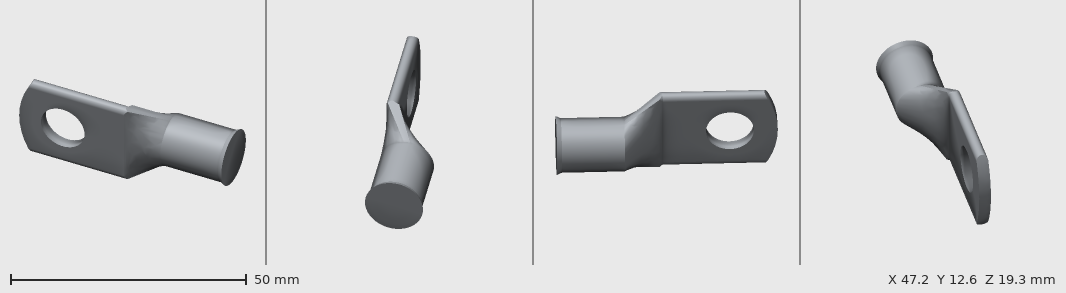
import cadquery as cq
import math

total_length = 47.18

palm_width = 19.3
palm_thickness = 2.56
palm_length = 24.4
palm_tip_radius = 18.0
palm_back_y = -6.14
palm_edge_radius = 1.27

hole_diameter = 10.15
hole_x = 10.15

barrel_diameter = 11.6
barrel_start_x = 32.75
lip_diameter = 12.56
lip_length = 1.05

seam_upper_y = 0.6
seam_lower_y = -0.75

palm_front_y = palm_back_y + palm_thickness
palm_half_width = palm_width / 2
barrel_radius = barrel_diameter / 2
lip_start_x = total_length - lip_length


def palm_section():
    """Rectangular bar section at the root of the palm."""
    section = cq.Workplane("YZ", origin=(palm_length, 0, 0))
    return (
        section.moveTo(palm_front_y, -palm_half_width)
        .lineTo(palm_front_y, palm_half_width)
        .lineTo(palm_back_y, palm_half_width)
        .lineTo(palm_back_y, -palm_half_width)
        .close()
    )


def barrel_section():
    """Barrel circle as four arcs, one for each side of the palm rectangle."""
    upper_z = math.sqrt(barrel_radius**2 - seam_upper_y**2)
    lower_z = math.sqrt(barrel_radius**2 - seam_lower_y**2)
    section = cq.Workplane("YZ", origin=(barrel_start_x, 0, 0))
    return (
        section.moveTo(seam_upper_y, -upper_z)
        .threePointArc((barrel_radius, 0), (seam_upper_y, upper_z))
        .threePointArc((0, barrel_radius), (seam_lower_y, lower_z))
        .threePointArc((-barrel_radius, 0), (seam_lower_y, -lower_z))
        .threePointArc((0, -barrel_radius), (seam_upper_y, -upper_z))
        .close()
    )


def make_transition():
    """Ruled loft from the rectangular palm to the round barrel."""
    sections = [palm_section().val(), barrel_section().val()]
    return cq.Workplane(cq.Solid.makeLoft(sections, True))


def make_barrel():
    """Round barrel with a conical lip at its open end, turned about X."""
    return (
        cq.Workplane("XZ")
        .moveTo(barrel_start_x, 0)
        .lineTo(barrel_start_x, barrel_radius)
        .lineTo(lip_start_x, barrel_radius)
        .lineTo(total_length, lip_diameter / 2)
        .lineTo(total_length, 0)
        .close()
        .revolve(360, (0, 0, 0), (1, 0, 0))
    )


def round_palm_edges(body):
    """Round the four long palm edges; the rounding runs out into the transition."""
    return body.edges("|X and (>Z or <Z)").fillet(palm_edge_radius)


def make_tip_waste():
    """Material outside the arc that ends the palm."""
    tip_sagitta = palm_tip_radius - math.sqrt(palm_tip_radius**2 - palm_half_width**2)
    return (
        cq.Workplane("XZ", origin=(0, palm_front_y, 0))
        .moveTo(tip_sagitta, -palm_half_width)
        .threePointArc((0, 0), (tip_sagitta, palm_half_width))
        .lineTo(0, palm_half_width)
        .lineTo(0, -palm_half_width)
        .close()
        .extrude(palm_thickness)
    )


def make_hole():
    return (
        cq.Workplane("XZ", origin=(hole_x, palm_front_y, 0))
        .circle(hole_diameter / 2)
        .extrude(palm_thickness)
    )


palm = palm_section().extrude(-palm_length)
body = palm.union(make_transition()).union(make_barrel())
result = round_palm_edges(body).cut(make_tip_waste()).cut(make_hole())